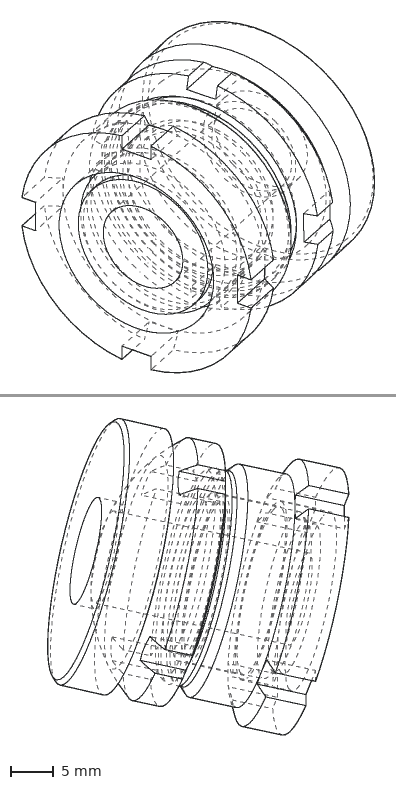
import cadquery as cq
import math


outer_radius = 15.98
thread_radius = 10.0
thread_clearance = 0.1
hub_radius = 13.95
slot_width = 4.0
slot_count = 4

flange_land_end = 4.9
flange_end = 6.02
hub_end = 11.75
neck_radius = 12.95
neck_chamfer = 0.6
ring_end = 13.95
neck_start = hub_end + hub_radius - neck_radius
recess_radius = 10.7
ring_bore_radius = thread_radius + thread_clearance
recess_depth = flange_end

nut_radius = 15.73
nut_turn = 1.0
bore_radius = 5.5
spindle_front = 1.45
spindle_point_end = 2.55
spindle_point_radius = 8.97
relief_radius = 9.22
relief_start = neck_start
collar_front = 14.48
pocket_radius = 12.97
pocket_depth = 0.8
pocket_floor_radius = 12.45
collar_chamfer = 0.48
sphere_radius = 20.0
sphere_center = 5.95

disc_front = 21.3
disc_back = 27.45
disc_bore_radius = 6.4
disc_face_radius = 14.9
disc_front_chamfer = 0.25
disc_back_chamfer = 0.5
disc_tilt = 0.7


def sphere_y(radius):
    """Y of the spherical surface at a distance from the Y axis."""
    return sphere_center + math.sqrt(sphere_radius**2 - radius**2)


def sphere_arc(profile, start_radius, end_radius):
    """Continue a profile along the spherical surface."""
    middle_radius = (start_radius + end_radius) / 2
    return profile.threePointArc(
        (middle_radius, sphere_y(middle_radius)),
        (end_radius, sphere_y(end_radius)),
    )


def turned(profile):
    """Close a (radius, Y) profile and turn it about the Y axis."""
    return profile.close().revolve(360, (0, 0, 0), (0, 1, 0))


def cut_slots(body, front, length):
    """Cut the spanner slots into the rim of a body, from the front along Y."""
    for i in range(slot_count):
        slot = (
            cq.Workplane("XY")
            .box(slot_width, length, outer_radius, centered=(True, False, False))
            .translate((0, front, hub_radius))
            .rotate((0, 0, 0), (0, 1, 0), i * 360 / slot_count)
        )
        body = body.cut(slot)
    return body


def make_lock_ring():
    profile = cq.Workplane("XY").polyline([
        (recess_radius, 0),
        (outer_radius, 0),
        (outer_radius, flange_land_end),
        (hub_radius, flange_end),
        (hub_radius, hub_end),
        (neck_radius, neck_start),
        (neck_radius, ring_end - neck_chamfer),
        (neck_radius - neck_chamfer, ring_end),
        (ring_bore_radius, ring_end),
        (ring_bore_radius, recess_depth),
        (recess_radius, recess_depth),
    ])
    return cut_slots(turned(profile), 0, flange_end)


def make_nut():
    thread_start = spindle_point_end + thread_radius - spindle_point_radius
    profile = cq.Workplane("XY").polyline([
        (bore_radius, spindle_front),
        (spindle_point_radius, spindle_front),
        (spindle_point_radius, spindle_point_end),
        (thread_radius, thread_start),
        (thread_radius, relief_start),
        (relief_radius, relief_start),
        (relief_radius, collar_front + pocket_depth),
        (pocket_floor_radius, collar_front + pocket_depth),
        (pocket_radius, collar_front),
        (hub_radius, collar_front),
        (nut_radius, collar_front + collar_chamfer),
        (nut_radius, sphere_y(nut_radius)),
    ])
    profile = sphere_arc(profile, nut_radius, bore_radius)
    slot_length = sphere_y(hub_radius) - collar_front
    nut = cut_slots(turned(profile), collar_front, slot_length)
    return nut.rotate((0, 0, 0), (0, 1, 0), -nut_turn)


def make_seat_disc():
    seat_radius = math.sqrt(sphere_radius**2 - (disc_front - sphere_center) ** 2)
    profile = cq.Workplane("XY").polyline([
        (disc_bore_radius, sphere_y(disc_bore_radius)),
        (disc_bore_radius, disc_back),
        (outer_radius - disc_back_chamfer, disc_back),
        (outer_radius, disc_back - disc_back_chamfer),
        (outer_radius, disc_front + disc_front_chamfer),
        (disc_face_radius, disc_front),
        (seat_radius, disc_front),
    ])
    disc = turned(sphere_arc(profile, seat_radius, disc_bore_radius))
    pivot = (0, sphere_center, 0)
    pivot_end = (0.32, sphere_center, 0.32)
    return disc.rotate(pivot, pivot_end, disc_tilt)


lock_ring = make_lock_ring()
nut = make_nut()
seat_disc = make_seat_disc()

result = cq.Compound.makeCompound([lock_ring.val(), nut.val(), seat_disc.val()])